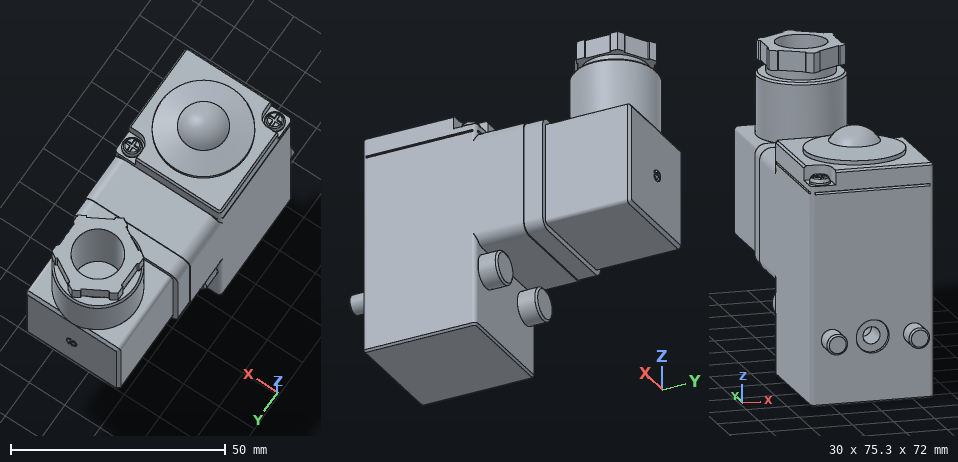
import cadquery as cq
import math


BODY_WIDTH = 30.0
BODY_DEPTH = 30.0
BODY_HEIGHT = 52.0
LID_TOP = 57.0
BODY_EDGE_FILLET = 1.0
BODY_CHAMFER = 0.5
SEAM_GROOVE = 0.5

COIL_SIZE = BODY_WIDTH
COIL_CENTRE_Z = 36.6
COIL_BACK = 42.4
COIL_FILLET = 3.0
GASKET_SIZE = 29.4
GASKET_BACK = 47.3
GASKET_FILLET = 2.7
CONNECTOR_SIZE = 26.6
CONNECTOR_BACK = 69.65
CONNECTOR_FILLET = 1.0
CONNECTOR_BACK_CHAMFER = 0.75
BLOCK_OVERLAP = 2.0
BACK_SCREW_DIAMETER = 2.8
BACK_SCREW_TIP = 70.34
BACK_SCREW_TIP_DIAMETER = 1.4
BACK_SCREW_TAPER = 0.4
BACK_SCREW_SLOT = 0.6

GLAND_DIAMETER = 21.5
GLAND_CENTRE_Y = 58.9
GLAND_TOP = 64.9
GLAND_CHAMFER = 0.5
NECK_DIAMETER = 16.5
NUT_BOTTOM = 67.2
NUT_TOP = 72.0
NUT_ACROSS_CORNERS = 21.6
NUT_RECESS_DEPTH = 0.45
NUT_RECESS_LENGTH = 6.8
NUT_RECESS_TAPER = 0.15
CABLE_HOLE_DIAMETER = 12.5

DOME_DIAMETER = 24.0
DOME_RIM_HEIGHT = 1.0
BUTTON_DIAMETER = 12.2
BUTTON_BASE_Z = 59.7
BUTTON_TOP_Z = 63.2

NOTCH_SIZE = 6.0
NOTCH_FLOOR = 53.5
LID_SCREW_DIAMETER = 4.9
LID_SCREW_TOP_DIAMETER = 4.13
LID_SCREW_RIM_HEIGHT = 0.5
LID_SCREW_SHOULDER_HEIGHT = 1.4
LID_SCREW_HEIGHT = 1.7
CROSS_LENGTH = 3.4
CROSS_WIDTH = 0.7
CROSS_DEPTH = 0.8

PORT_Z = 16.1
MOUNT_DIAMETER = 5.0
MOUNT_END_DIAMETER = 4.13
MOUNT_LENGTH = 5.0
MOUNT_SPACING = 20.0
PORT_RECESS_DIAMETER = 8.0
PORT_RECESS_DEPTH = 1.0
PORT_DIAMETER = 4.13
PORT_DEPTH = 8.0
DRILL_POINT_ANGLE = 118.0
MOUNT_HEAD_DIAMETER = 8.5
MOUNT_HEAD_LENGTH = 5.1
MOUNT_HEAD_CHAMFER = 0.5


def square_block(size, front, back, centre_z):
    """Square block along Y, centred on X = 0."""
    return cq.Workplane("XY").box(size, back - front, size).translate((0, (front + back) / 2, centre_z))


def cylinder_y(diameter, x, z, start, end):
    """Cylinder along Y from start to end."""
    plane = cq.Plane(origin=(x, start, z), xDir=(1, 0, 0), normal=(0, math.copysign(1, end - start), 0))
    return cq.Workplane(plane).circle(diameter / 2).extrude(abs(end - start))


def cylinder_z(diameter, y, bottom, top):
    """Upright cylinder on the X = 0 plane."""
    return cq.Workplane("XY", origin=(0, y, bottom)).circle(diameter / 2).extrude(top - bottom)


def turn_about_body(shape, angle):
    """Copy of a feature turned about the upright axis of the body."""
    return shape.rotate((0, BODY_DEPTH / 2, 0), (0, BODY_DEPTH / 2, 1), angle)


def make_seam_groove():
    """Wedge cut under the lid on the front face, ending at the rounded corners."""
    half_length = BODY_WIDTH / 2 - BODY_EDGE_FILLET
    return (
        cq.Workplane("YZ", origin=(-half_length, 0, BODY_HEIGHT))
        .lineTo(SEAM_GROOVE, 0)
        .lineTo(0, -SEAM_GROOVE)
        .close()
        .extrude(2 * half_length)
    )


def make_body():
    """Body and lid as one rounded block with a seam groove on all four sides."""
    body = (
        cq.Workplane("XY", origin=(0, BODY_DEPTH / 2, 0))
        .rect(BODY_WIDTH, BODY_DEPTH)
        .extrude(LID_TOP)
        .edges("|Z")
        .fillet(BODY_EDGE_FILLET)
        .faces("<Z or >Z")
        .edges()
        .chamfer(BODY_CHAMFER)
    )
    groove = make_seam_groove()
    for quarter_turn in range(4):
        body = body.cut(turn_about_body(groove, 90 * quarter_turn))
    return body


def make_coil_and_connector():
    """Three square blocks behind the body; the coil reaches in to meet its rounded edges."""
    coil_front = BODY_DEPTH - BLOCK_OVERLAP
    coil = square_block(COIL_SIZE, coil_front, COIL_BACK, COIL_CENTRE_Z).edges("|Y").fillet(COIL_FILLET)
    gasket = square_block(GASKET_SIZE, COIL_BACK, GASKET_BACK, COIL_CENTRE_Z)
    gasket = gasket.edges("|Y").fillet(GASKET_FILLET)
    connector = square_block(CONNECTOR_SIZE, GASKET_BACK, CONNECTOR_BACK, COIL_CENTRE_Z)
    connector = connector.edges("|Y").fillet(CONNECTOR_FILLET)
    connector = connector.faces(">Y").edges().chamfer(CONNECTOR_BACK_CHAMFER)
    return coil.union(gasket).union(connector).union(make_back_screw())


def make_back_screw():
    """Tapered tip of the connector screw, with a cross recess, on the back face."""
    screw = cylinder_y(BACK_SCREW_DIAMETER, 0, COIL_CENTRE_Z, GASKET_BACK, BACK_SCREW_TIP)
    taper_run = (BACK_SCREW_DIAMETER - BACK_SCREW_TIP_DIAMETER) / 2
    screw = screw.faces(">Y").edges().chamfer(BACK_SCREW_TAPER, taper_run)
    span = BACK_SCREW_DIAMETER
    slots = cq.Workplane("XZ", origin=(0, BACK_SCREW_TIP, COIL_CENTRE_Z))
    for width, height in ((span, BACK_SCREW_SLOT), (BACK_SCREW_SLOT, span)):
        screw = screw.cut(slots.rect(width, height).extrude(BACK_SCREW_TIP - CONNECTOR_BACK))
    return screw


def make_gland_nut():
    """Hexagonal nut with corners on +Y and -Y and a shallow recess in each side."""
    apothem = NUT_ACROSS_CORNERS / 2 * math.cos(math.radians(30))
    height = NUT_TOP - NUT_BOTTOM
    nut = (
        cq.Workplane("XY", origin=(0, 0, NUT_BOTTOM))
        .polygon(6, NUT_ACROSS_CORNERS)
        .extrude(height)
        .rotate((0, 0, 0), (0, 0, 1), 30)
    )
    half_length = NUT_RECESS_LENGTH / 2
    recess = (
        cq.Workplane("XY", origin=(0, 0, NUT_BOTTOM))
        .moveTo(apothem, -half_length)
        .lineTo(apothem - NUT_RECESS_DEPTH, -half_length + NUT_RECESS_TAPER)
        .lineTo(apothem - NUT_RECESS_DEPTH, half_length - NUT_RECESS_TAPER)
        .lineTo(apothem, half_length)
        .close()
        .extrude(height)
    )
    for side in range(6):
        nut = nut.cut(recess.rotate((0, 0, 0), (0, 0, 1), 60 * side))
    return nut.translate((0, GLAND_CENTRE_Y, 0))


def make_gland():
    """Sleeve, neck and nut stacked on the connector."""
    sleeve = cylinder_z(GLAND_DIAMETER, GLAND_CENTRE_Y, COIL_CENTRE_Z, GLAND_TOP)
    sleeve = sleeve.faces(">Z").edges().chamfer(GLAND_CHAMFER)
    neck = cylinder_z(NECK_DIAMETER, GLAND_CENTRE_Y, GLAND_TOP, NUT_BOTTOM)
    return sleeve.union(neck).union(make_gland_nut())


def make_dome():
    """Rim, cone and spherical button as one revolved profile."""
    button_radius = BUTTON_DIAMETER / 2
    button_height = BUTTON_TOP_Z - BUTTON_BASE_Z
    sphere_radius = (button_radius**2 + button_height**2) / (2 * button_height)
    half_angle = math.asin(button_radius / sphere_radius) / 2
    arc_r = sphere_radius * math.sin(half_angle)
    arc_z = BUTTON_TOP_Z - sphere_radius * (1 - math.cos(half_angle))
    return (
        cq.Workplane("XZ")
        .moveTo(0, LID_TOP)
        .lineTo(DOME_DIAMETER / 2, LID_TOP)
        .lineTo(DOME_DIAMETER / 2, LID_TOP + DOME_RIM_HEIGHT)
        .lineTo(button_radius, BUTTON_BASE_Z)
        .threePointArc((arc_r, arc_z), (0, BUTTON_TOP_Z))
        .close()
        .revolve(360, (0, 0, 0), (0, 1, 0))
        .translate((0, BODY_DEPTH / 2, 0))
    )


def make_corner_notch():
    """Pocket in the front left corner of the lid, rounded on the inside."""
    return (
        cq.Workplane("XY", origin=(-BODY_WIDTH / 2, 0, NOTCH_FLOOR))
        .rect(2 * NOTCH_SIZE, 2 * NOTCH_SIZE)
        .extrude(LID_TOP - NOTCH_FLOOR)
        .edges("|Z")
        .fillet(NOTCH_SIZE / 2)
    )


def make_lid_screw():
    """Cross-recessed screw head standing in the front left notch."""
    head = (
        cq.Workplane("XZ")
        .lineTo(LID_SCREW_DIAMETER / 2, 0)
        .lineTo(LID_SCREW_DIAMETER / 2, LID_SCREW_RIM_HEIGHT)
        .lineTo(LID_SCREW_TOP_DIAMETER / 2, LID_SCREW_SHOULDER_HEIGHT)
        .lineTo(CROSS_LENGTH / 2, LID_SCREW_HEIGHT)
        .lineTo(0, LID_SCREW_HEIGHT)
        .close()
        .revolve(360, (0, 0, 0), (0, 1, 0))
    )
    slots = cq.Workplane("XY", origin=(0, 0, LID_SCREW_HEIGHT))
    for length, width in ((CROSS_LENGTH, CROSS_WIDTH), (CROSS_WIDTH, CROSS_LENGTH)):
        head = head.cut(slots.rect(length, width).extrude(-CROSS_DEPTH))
    corner_offset = NOTCH_SIZE / 2
    return head.translate((corner_offset - BODY_WIDTH / 2, corner_offset, NOTCH_FLOOR))


def make_mount_end(x):
    """Chamfered screw end standing out of the front face."""
    chamfer = (MOUNT_DIAMETER - MOUNT_END_DIAMETER) / 2
    return cylinder_y(MOUNT_DIAMETER, x, PORT_Z, 0, -MOUNT_LENGTH).faces("<Y").edges().chamfer(chamfer)


def make_port():
    """Recess, drilled hole and conical drill point, cut in from the front face."""
    radius = PORT_DIAMETER / 2
    point = radius / math.tan(math.radians(DRILL_POINT_ANGLE / 2))
    return (
        cq.Workplane("XY")
        .lineTo(PORT_RECESS_DIAMETER / 2, 0)
        .lineTo(PORT_RECESS_DIAMETER / 2, PORT_RECESS_DEPTH)
        .lineTo(radius, PORT_RECESS_DEPTH)
        .lineTo(radius, PORT_DEPTH)
        .lineTo(0, PORT_DEPTH + point)
        .close()
        .revolve(360, (0, 0, 0), (0, 1, 0))
        .translate((0, 0, PORT_Z))
    )


def make_mount_head(x):
    """Cylindrical head on the back face, in line with the screw end on the front."""
    head = cylinder_y(MOUNT_HEAD_DIAMETER, x, PORT_Z, BODY_DEPTH, BODY_DEPTH + MOUNT_HEAD_LENGTH)
    return head.faces(">Y").edges().chamfer(MOUNT_HEAD_CHAMFER)


part = make_body().union(make_coil_and_connector()).union(make_gland())
connector_top = COIL_CENTRE_Z + CONNECTOR_SIZE / 2
part = part.cut(cylinder_z(CABLE_HOLE_DIAMETER, GLAND_CENTRE_Y, connector_top, NUT_TOP))

notch = make_corner_notch()
lid_screw = make_lid_screw()
part = part.cut(notch).cut(turn_about_body(notch, 180))
part = part.union(make_dome()).union(lid_screw).union(turn_about_body(lid_screw, 180))

for mount_x in (-MOUNT_SPACING / 2, MOUNT_SPACING / 2):
    part = part.union(make_mount_end(mount_x)).union(make_mount_head(mount_x))
part = part.cut(make_port())

result = part